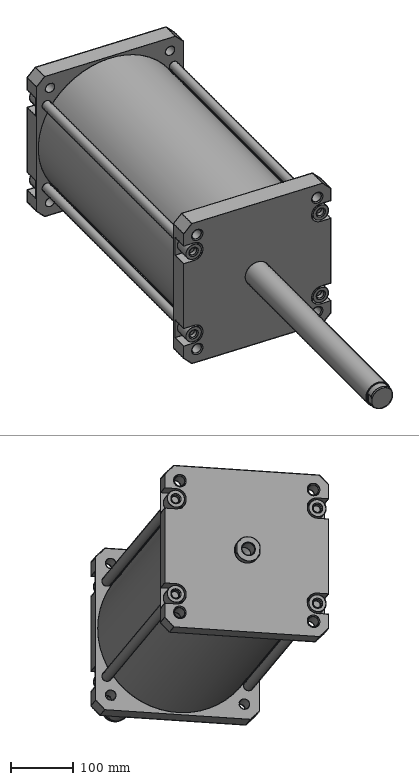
import cadquery as cq

total_length = 940.0
cap_width = 270.0
rear_cap_start = 12.0
rear_cap_thickness = 31.0
front_cap_thickness = 34.0
barrel_length = 451.0
barrel_diameter = 263.0
cap_corner_chamfer = 15.0

mounting_hole_offset = 110.0
mounting_hole_diameter = 17.0
mounting_hole_chamfer = 2.0

tie_rod_spacing_y = 233.0
tie_rod_spacing_z = 159.0
tie_rod_diameter = 16.0
head_diameter = 28.0
head_length = 28.0
pocket_width = 34.0
socket_diameter = 13.0
socket_depth = 9.0
socket_chamfer = 2.0

rod_diameter = 44.0
tip_diameter = 40.0
front_tip_length = 14.0
tip_chamfer_length = 3.0
tip_chamfer_height = 1.0
flat_gap = 3.0
flat_spacing = 38.0
rod_hole_diameter = 21.0
rod_hole_chamfer = 1.0
rod_hole_depth = 28.0
drill_tip_height = 6.0

barrel_start = rear_cap_start + rear_cap_thickness
barrel_end = barrel_start + barrel_length
front_cap_end = barrel_end + front_cap_thickness
front_tip_start = total_length - front_tip_length
rear_pocket_floor = rear_cap_start + head_length
front_pocket_floor = front_cap_end - head_length

tie_rod_places = [
    (side_y * tie_rod_spacing_y / 2, side_z * tie_rod_spacing_z / 2)
    for side_y in (-1, 1)
    for side_z in (-1, 1)
]


def cylinder(start, end, diameter, y=0.0, z=0.0):
    """Cylinder along X between two stations."""
    return cq.Workplane("YZ", origin=(start, y, z)).circle(diameter / 2).extrude(end - start)


def countersunk_cutter(mouth, end, diameter, chamfer, y=0.0, z=0.0):
    """Cutter along X for a round hole whose mouth is widened by a 45 degree chamfer."""
    direction = 1 if end > mouth else -1
    shank = cylinder(mouth, end, diameter, y, z)
    sink_plane = cq.Plane(origin=(mouth, y, z), xDir=(0, 1, 0), normal=(direction, 0, 0))
    sink = cq.Workplane(sink_plane).circle(diameter / 2 + chamfer).extrude(chamfer, taper=45)
    return shank.union(sink)


def box(start, end, y_low, y_high, z_low, z_high):
    """Box given by its limits on the three axes."""
    size = (end - start, y_high - y_low, z_high - z_low)
    return cq.Workplane("XY", origin=(start, y_low, z_low)).box(*size, centered=False)


def make_head_pocket(start, end, y, z):
    """Round-bottomed pocket that opens through the nearest Y side of a cap."""
    side = cap_width / 2
    y_low, y_high = (y, side) if y > 0 else (-side, y)
    opening = box(start, end, y_low, y_high, z - pocket_width / 2, z + pocket_width / 2)
    return cylinder(start, end, pocket_width, y, z).union(opening)


def make_cap(outer_face, inner_face, pocket_floor, bore_diameter):
    """Square end cap with bevelled corners, mounting holes, a rod bore and tie rod pockets."""
    start, end = sorted((outer_face, inner_face))
    pocket_start, pocket_end = sorted((outer_face, pocket_floor))
    half = cap_width / 2
    cap = box(start, end, -half, half, -half, half).edges("|X").chamfer(cap_corner_chamfer)
    cap = cap.cut(cylinder(start, end, bore_diameter))
    for y in (-mounting_hole_offset, mounting_hole_offset):
        for z in (-mounting_hole_offset, mounting_hole_offset):
            cutter = countersunk_cutter(
                outer_face, inner_face, mounting_hole_diameter, mounting_hole_chamfer, y, z
            )
            cap = cap.cut(cutter)
    for y, z in tie_rod_places:
        cap = cap.cut(cylinder(start, end, tie_rod_diameter, y, z))
        cap = cap.cut(make_head_pocket(pocket_start, pocket_end, y, z))
    return cap


def make_barrel():
    """Cylinder barrel between the caps, bored for the piston rod."""
    return cylinder(barrel_start, barrel_end, barrel_diameter).cut(
        cylinder(barrel_start, barrel_end, rod_diameter)
    )


def make_tie_rod(y, z):
    """Tie rod with a round head and a socket at each end."""
    rod = cylinder(rear_cap_start, front_cap_end, tie_rod_diameter, y, z)
    rod = rod.union(cylinder(rear_cap_start, rear_pocket_floor, head_diameter, y, z))
    rod = rod.union(cylinder(front_pocket_floor, front_cap_end, head_diameter, y, z))
    for mouth, floor in (
        (rear_cap_start, rear_cap_start + socket_depth),
        (front_cap_end, front_cap_end - socket_depth),
    ):
        rod = rod.cut(countersunk_cutter(mouth, floor, socket_diameter, socket_chamfer, y, z))
    return rod


def cut_flats(rod, start, end):
    """Cut two parallel wrench flats, facing -Y and +Y, between two stations."""
    reach = tip_diameter / 2
    flat = flat_spacing / 2
    rod = rod.cut(box(start, end, flat, reach, -reach, reach))
    return rod.cut(box(start, end, -reach, -flat, -reach, reach))


def make_piston_rod():
    """Through rod with flats on both tips and a drilled hole in the rear end."""
    rod = cylinder(0, total_length, tip_diameter)
    rod = rod.faces(">X").chamfer(tip_chamfer_length, tip_chamfer_height)
    rod = rod.union(cylinder(barrel_start, front_tip_start, rod_diameter))
    rod = cut_flats(rod, 0, rear_cap_start - flat_gap)
    rod = cut_flats(rod, front_tip_start + flat_gap, total_length)
    hole_profile = [
        (0, 0),
        (0, rod_hole_diameter / 2 + rod_hole_chamfer),
        (rod_hole_chamfer, rod_hole_diameter / 2),
        (rod_hole_depth, rod_hole_diameter / 2),
        (rod_hole_depth + drill_tip_height, 0),
    ]
    hole = cq.Workplane("XY").polyline(hole_profile).close().revolve(360, (0, 0, 0), (1, 0, 0))
    return rod.cut(hole)


barrel = make_barrel()
rear_cap = make_cap(rear_cap_start, barrel_start, rear_pocket_floor, tip_diameter)
front_cap = make_cap(front_cap_end, barrel_end, front_pocket_floor, rod_diameter)
tie_rods = [make_tie_rod(y, z) for y, z in tie_rod_places]
piston_rod = make_piston_rod()

result = cq.Compound.makeCompound(
    [
        barrel.val(),
        rear_cap.val(),
        front_cap.val(),
        *[tie_rod.val() for tie_rod in tie_rods],
        piston_rod.val(),
    ]
)